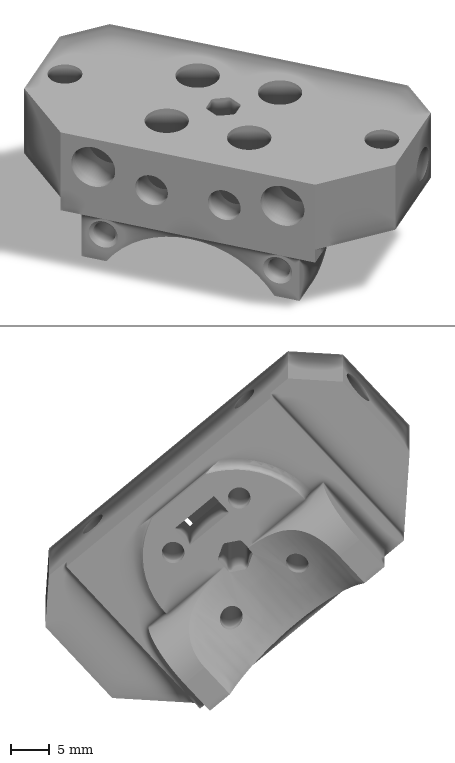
import cadquery as cq
import math


length = 51.0
width = 26.0
block_height = 10.0
rear_corner = 5.0
front_corner = 8.0

centre_length = length - 2 * front_corner
centre_height = 12.0

pad_height = 0.95
pad_bottom_z = -centre_height - pad_height
pad_outer_radius = width / 2
pad_fillet_radius = 1.1
pad_back_y = 10.95

total_height = 19.0
saddle_length = 30.0
saddle_front_y = -12.1
saddle_back_y = -0.1
saddle_back_radius = total_height - centre_height
arch_radius = 14.0
arch_centre_z = pad_bottom_z - arch_radius

top_screw_offset = 5.65
top_screw_diameter = 2.9
top_bore_diameter = 5.7
top_bore_depth = 6.0

front_screw_x = 13.0
front_screw_z = -4.3
front_screw_diameter = 3.4
front_bore_diameter = 6.0
front_bore_depth = 6.0

pin_diameter = 4.5
pin_depth = 4.0
pin_offset = 5.0
side_pin_z = -6.0
top_pin_x = 21.8

saddle_hole_x = 12.0
saddle_hole_z = -15.0
saddle_hole_diameter = 3.0
saddle_hole_depth = 6.0
saddle_sink_diameter = 4.0

hex_across_flats = 4.05
hex_corner_radius = 0.5

pocket_length = 6.8
pocket_front_y = 5.0
pocket_width = 3.0


def cylinder(start, direction, diameter, depth):
    """Solid cylinder that starts at a point and runs along a direction."""
    solid = cq.Solid.makeCylinder(diameter / 2, depth, cq.Vector(*start), cq.Vector(*direction))
    return cq.Workplane(solid)


def main_block():
    x, y = length / 2, width / 2
    outline = [
        (-x + front_corner, -y),
        (x - front_corner, -y),
        (x, -y + front_corner),
        (x, y - rear_corner),
        (x - rear_corner, y),
        (-x + rear_corner, y),
        (-x, y - rear_corner),
        (-x, -y + front_corner),
    ]
    block = cq.Workplane("XY").polyline(outline).close().extrude(-block_height)
    centre = cq.Workplane("XY").rect(centre_length, width).extrude(-centre_height)
    return block.union(centre)


def pad():
    fillet_reach = math.sqrt(pad_fillet_radius**2 - (pad_fillet_radius - pad_height) ** 2)
    disc = (
        cq.Workplane("XZ")
        .moveTo(0, -centre_height)
        .lineTo(pad_outer_radius, -centre_height)
        .radiusArc((pad_outer_radius - fillet_reach, pad_bottom_z), -pad_fillet_radius)
        .lineTo(0, pad_bottom_z)
        .close()
        .revolve(360, (0, 0, 0), (0, 1, 0))
    )
    behind = (
        cq.Workplane("XY")
        .center(0, pad_back_y + width / 2)
        .rect(length, width)
        .extrude(-total_height)
    )
    return disc.cut(behind)


def saddle():
    arc_centre_y = saddle_back_y - saddle_back_radius
    arc_reach = saddle_back_radius * math.sqrt(0.5)
    body = (
        cq.Workplane("YZ")
        .moveTo(saddle_front_y, -centre_height)
        .lineTo(saddle_back_y, -centre_height)
        .threePointArc(
            (arc_centre_y + arc_reach, -centre_height - arc_reach),
            (arc_centre_y, -total_height),
        )
        .lineTo(saddle_front_y, -total_height)
        .close()
        .extrude(saddle_length / 2, both=True)
    )
    return body.cut(cylinder((0, -width / 2, arch_centre_z), (0, 1, 0), 2 * arch_radius, width))


def cut_top_holes(part):
    for x in (-top_screw_offset, top_screw_offset):
        for y in (-top_screw_offset, top_screw_offset):
            part = part.cut(cylinder((x, y, 0), (0, 0, -1), top_screw_diameter, total_height))
            part = part.cut(cylinder((x, y, 0), (0, 0, -1), top_bore_diameter, top_bore_depth))
    for x in (-top_pin_x, top_pin_x):
        part = part.cut(cylinder((x, 0, 0), (0, 0, -1), pin_diameter, pin_depth))
    hexagon = (
        cq.Workplane("XY")
        .polygon(6, hex_across_flats, circumscribed=True)
        .extrude(-total_height)
        .edges("|Z")
        .fillet(hex_corner_radius)
    )
    return part.cut(hexagon)


def cut_front_holes(part):
    front_y = -width / 2
    for side in (-1, 1):
        screw = (side * front_screw_x, front_y, front_screw_z)
        part = part.cut(cylinder(screw, (0, 1, 0), front_screw_diameter, width))
        part = part.cut(cylinder(screw, (0, 1, 0), front_bore_diameter, front_bore_depth))
        pin = (side * pin_offset, front_y, side_pin_z)
        part = part.cut(cylinder(pin, (0, 1, 0), pin_diameter, pin_depth))
    return part


def cut_end_holes(part):
    for side in (-1, 1):
        pin = (side * length / 2, pin_offset, side_pin_z)
        part = part.cut(cylinder(pin, (-side, 0, 0), pin_diameter, pin_depth))
    return part


def cut_saddle_holes(part):
    sink_depth = (saddle_sink_diameter - saddle_hole_diameter) / 2
    for x in (-saddle_hole_x, saddle_hole_x):
        start = (x, saddle_front_y, saddle_hole_z)
        sink = cq.Solid.makeCone(
            saddle_sink_diameter / 2,
            saddle_hole_diameter / 2,
            sink_depth,
            cq.Vector(*start),
            cq.Vector(0, 1, 0),
        )
        part = part.cut(cylinder(start, (0, 1, 0), saddle_hole_diameter, saddle_hole_depth))
        part = part.cut(cq.Workplane(sink))
    return part


def cut_pocket(part):
    pocket = (
        cq.Workplane("XY")
        .workplane(offset=-top_bore_depth)
        .center(0, pocket_front_y + pocket_width / 2)
        .rect(pocket_length, pocket_width)
        .extrude(-total_height)
    )
    return part.cut(pocket)


result = main_block().union(pad()).union(saddle())
result = cut_top_holes(result)
result = cut_front_holes(result)
result = cut_end_holes(result)
result = cut_saddle_holes(result)
result = cut_pocket(result)